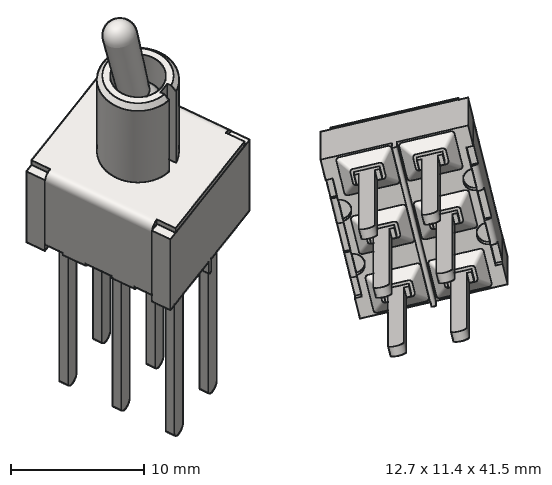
import cadquery as cq
import math


OVERALL_HEIGHT = 41.5

CASE_LENGTH = 12.7
CASE_WIDTH = 11.4
CASE_HEIGHT = 8.9

SHEET_THICKNESS = 0.55
BEND_RADIUS = 0.75
LEG_LENGTH = 9.42
LEG_BOTTOM = 0.75

TAB_WIDTH = 2.0
TAB_OFFSET = 2.15
TAB_BOTTOM = 0.2
TAB_BEND_RADIUS = 0.45
TAB_POCKET_RADIUS = 0.85

BUSHING_DIAMETER = 6.2
BUSHING_HEIGHT = 8.85
BUSHING_CHAMFER = 0.4
BORE_DIAMETER = 4.2
KEYWAY_WIDTH = 1.0
KEYWAY_FLOOR = 2.3

RIB_THICKNESS = 0.37
RIB_DEPTH = 1.5

TERMINAL_COLUMNS = 3
TERMINAL_ROWS = 2
COLUMN_PITCH = 4.7
ROW_PITCH = 4.85
TERMINAL_LENGTH = 18.72
TERMINAL_THICKNESS = 0.8
BLADE_WIDTH = 1.25
SHOULDER_WIDTH = 2.0
SHOULDER_DEPTH = 1.85
PAD_DEPTH = 1.0
PAD_BOTTOM_LENGTH = 1.3
PAD_BOTTOM_WIDTH = 2.55
PAD_SPREAD = 0.87
PAD_CORNER_RADIUS = 0.25

LEVER_TILT = 12.0
PIVOT_DEPTH = 3.78
BALL_RADIUS = BORE_DIAMETER / 2
STEM_TIP_RADIUS = 1.33
STEM_ROOT_RADIUS = 1.2

RIM_HEIGHT = CASE_HEIGHT + BUSHING_HEIGHT
PIVOT_HEIGHT = RIM_HEIGHT - PIVOT_DEPTH
LEVER_TOP = OVERALL_HEIGHT - TERMINAL_LENGTH
STEM_LENGTH = (LEVER_TOP - STEM_TIP_RADIUS - PIVOT_HEIGHT) / math.cos(math.radians(LEVER_TILT))
PLATE_WIDTH = CASE_WIDTH - 2 * BEND_RADIUS
CORE_WIDTH = CASE_WIDTH - 2 * SHEET_THICKNESS
CORE_HEIGHT = CASE_HEIGHT - SHEET_THICKNESS


def box(length, width, height):
    """Box centred in X and Y that stands on Z = 0."""
    return cq.Workplane("XY").box(length, width, height, centered=(True, True, False))


def make_case_block():
    """Block under the plate, with a shallow recess and two tab pockets on each long side."""
    block = box(CASE_LENGTH, CASE_WIDTH, CORE_HEIGHT)
    recess = box(LEG_LENGTH, SHEET_THICKNESS, CORE_HEIGHT)
    for side in (-1, 1):
        block = block.cut(recess.translate((0, side * (CASE_WIDTH - SHEET_THICKNESS) / 2, 0)))
        pockets = (
            cq.Workplane("XY")
            .pushPoints([(x, side * CORE_WIDTH / 2) for x in (-TAB_OFFSET, TAB_OFFSET)])
            .circle(TAB_POCKET_RADIUS)
            .extrude(LEG_BOTTOM)
        )
        block = block.cut(pockets)
    return block


def make_saddle():
    """Sheet bent over the case, with a full-length top plate and a leg on each long side."""
    sheet = (
        box(LEG_LENGTH, CASE_WIDTH, CASE_HEIGHT - LEG_BOTTOM)
        .edges("|X and >Z")
        .fillet(BEND_RADIUS)
        .cut(box(LEG_LENGTH, CORE_WIDTH, CORE_HEIGHT - LEG_BOTTOM))
        .translate((0, 0, LEG_BOTTOM))
    )
    plate = box(CASE_LENGTH, PLATE_WIDTH, SHEET_THICKNESS).translate((0, 0, CORE_HEIGHT))
    return sheet.union(plate)


def make_front_tab():
    """Tab below the -Y leg, rounded where it bends inward."""
    return (
        box(TAB_WIDTH, SHEET_THICKNESS, LEG_BOTTOM - TAB_BOTTOM)
        .edges("<Y and <Z")
        .fillet(TAB_BEND_RADIUS)
        .translate((0, -(CASE_WIDTH - SHEET_THICKNESS) / 2, TAB_BOTTOM))
    )


def make_bushing():
    """Chamfered tube, bored down to the centre of the ball, with a keyway along its +X side."""
    bushing = (
        cq.Workplane("XY")
        .workplane(offset=CASE_HEIGHT)
        .circle(BUSHING_DIAMETER / 2)
        .extrude(BUSHING_HEIGHT)
        .faces(">Z")
        .chamfer(BUSHING_CHAMFER)
    )
    bore = (
        cq.Workplane("XY")
        .workplane(offset=PIVOT_HEIGHT)
        .circle(BORE_DIAMETER / 2)
        .extrude(PIVOT_DEPTH)
    )
    keyway_depth = BUSHING_DIAMETER / 2 - KEYWAY_FLOOR
    keyway = (
        box(keyway_depth, KEYWAY_WIDTH, BUSHING_HEIGHT)
        .translate((KEYWAY_FLOOR + keyway_depth / 2, 0, CASE_HEIGHT))
    )
    return bushing.cut(bore).cut(keyway)


def make_rib():
    """Thin rib under the case, along X, with a fully rounded lower edge."""
    half = RIB_THICKNESS / 2
    return (
        cq.Workplane("YZ")
        .moveTo(-half, 0)
        .lineTo(-half, half - RIB_DEPTH)
        .threePointArc((0, -RIB_DEPTH), (half, half - RIB_DEPTH))
        .lineTo(half, 0)
        .close()
        .extrude(CASE_LENGTH / 2, both=True)
    )


def make_pad():
    """Pad under the case that narrows downward and has rounded corners."""
    top_length = PAD_BOTTOM_LENGTH + 2 * PAD_SPREAD
    top_width = PAD_BOTTOM_WIDTH + 2 * PAD_SPREAD
    top = cq.Sketch().rect(top_length, top_width).vertices().fillet(PAD_CORNER_RADIUS)
    bottom = cq.Sketch().rect(PAD_BOTTOM_LENGTH, PAD_BOTTOM_WIDTH).vertices().fillet(PAD_CORNER_RADIUS)
    return (
        cq.Workplane("XY")
        .placeSketch(top, bottom.moved(cq.Location(cq.Vector(0, 0, -PAD_DEPTH))))
        .loft()
    )


def make_terminal():
    """Flat blade with a wider shoulder at the case and a round tip."""
    half_blade = BLADE_WIDTH / 2
    half_shoulder = SHOULDER_WIDTH / 2
    return (
        cq.Workplane("YZ")
        .moveTo(-half_shoulder, 0)
        .lineTo(-half_shoulder, -SHOULDER_DEPTH)
        .lineTo(-half_blade, -SHOULDER_DEPTH)
        .lineTo(-half_blade, half_blade - TERMINAL_LENGTH)
        .threePointArc((0, -TERMINAL_LENGTH), (half_blade, half_blade - TERMINAL_LENGTH))
        .lineTo(half_blade, -SHOULDER_DEPTH)
        .lineTo(half_shoulder, -SHOULDER_DEPTH)
        .lineTo(half_shoulder, 0)
        .close()
        .extrude(TERMINAL_THICKNESS / 2, both=True)
    )


def make_case():
    """Case block with its rib, pads and terminals as one solid."""
    case = make_case_block().union(make_rib())
    terminal_on_pad = make_pad().union(make_terminal())
    for column in range(TERMINAL_COLUMNS):
        x = (column - (TERMINAL_COLUMNS - 1) / 2) * COLUMN_PITCH
        for row in range(TERMINAL_ROWS):
            y = (row - (TERMINAL_ROWS - 1) / 2) * ROW_PITCH
            case = case.union(terminal_on_pad.translate((x, y, 0)))
    return case


def make_lever():
    """Ball, flared stem and round tip turned as one piece, then tilted about the ball centre."""
    stem_root = math.sqrt(BALL_RADIUS**2 - STEM_ROOT_RADIUS**2)
    tip_arc_offset = STEM_TIP_RADIUS * math.sqrt(0.5)
    return (
        cq.Workplane("XZ")
        .moveTo(0, -BALL_RADIUS)
        .threePointArc((BALL_RADIUS, 0), (STEM_ROOT_RADIUS, stem_root))
        .lineTo(STEM_TIP_RADIUS, STEM_LENGTH)
        .threePointArc(
            (tip_arc_offset, STEM_LENGTH + tip_arc_offset),
            (0, STEM_LENGTH + STEM_TIP_RADIUS),
        )
        .close()
        .revolve(360, (0, 0, 0), (0, 1, 0))
        .rotate((0, 0, 0), (0, 1, 0), -LEVER_TILT)
        .translate((0, 0, PIVOT_HEIGHT))
    )


def make_bracket():
    """Saddle with its four tabs, bushing and lever as one solid."""
    bracket = make_saddle().union(make_bushing()).union(make_lever())
    front_tab = make_front_tab()
    for x in (-TAB_OFFSET, TAB_OFFSET):
        tab = front_tab.translate((x, 0, 0))
        bracket = bracket.union(tab).union(tab.mirror("XZ"))
    return bracket


case = make_case()
bracket = make_bracket()

result = cq.Compound.makeCompound([case.val(), bracket.val()])